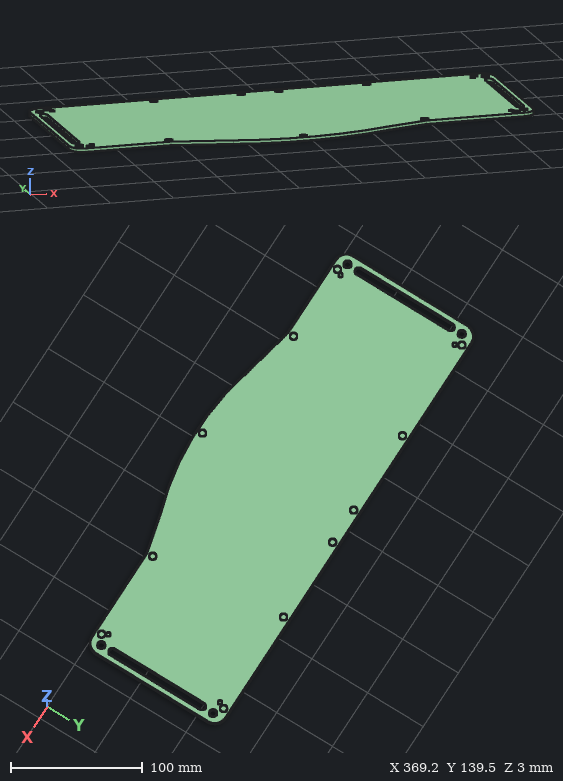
import cadquery as cq

length = 369.2
depth = 139.5
thickness = 3.0
corner_radius = 10.0
left_side_depth = 122.2
right_side_depth = 120.0

left_knee_x = 77.5
right_knee_x = 281.5
arc_left = (124.0, -132.5)
arc_lowest = (181.0, -depth)
arc_right = (248.5, -128.0)

end_inset = 7.8
mount_diameter = 6.0
mount_back_inset = 10.0
mount_front_inset = 9.5
slot_width = 6.0
slot_gap = 7.0

blind_depth = 1.5
socket_diameter = 5.5
socket_edge_inset = 5.0
socket_end_inset = 15.0
pilot_diameter = 3.3
pilot_end_inset = 17.7
back_socket_xs = (99.5, 169.0, 199.0, 268.8)
center_socket = (179.0, -134.8)


def make_plate():
    outline = (
        cq.Workplane("XY")
        .lineTo(length, 0)
        .lineTo(length, -right_side_depth)
        .lineTo(right_knee_x, -right_side_depth)
        .lineTo(*arc_right)
        .threePointArc(arc_lowest, arc_left)
        .lineTo(left_knee_x, -left_side_depth)
        .lineTo(0, -left_side_depth)
        .close()
    )
    plate = outline.extrude(thickness)
    end_faces = plate.faces("<X or >X")
    return end_faces.edges("|Z").fillet(corner_radius)


def drill(body, points, diameter, hole_depth):
    """Cut round holes down from the top face."""
    cutter = (
        cq.Workplane("XY")
        .workplane(offset=thickness - hole_depth)
        .pushPoints(points)
        .circle(diameter / 2)
        .extrude(hole_depth)
    )
    return body.cut(cutter)


def cut_slot(body, x, side_depth):
    """Cut the long slot between the two mounting holes of one end."""
    back_y = -(mount_back_inset + slot_gap)
    front_y = -(side_depth - mount_front_inset - slot_gap)
    slot = (
        cq.Workplane("XY")
        .center(x, (back_y + front_y) / 2)
        .slot2D(back_y - front_y, slot_width, 90)
        .extrude(thickness)
    )
    return body.cut(slot)


mount_points = []
pilot_points = []
socket_points = [(x, -socket_edge_inset) for x in back_socket_xs]
socket_points.append(center_socket)

result = make_plate()

ends = (
    (0, 1, left_side_depth, left_knee_x),
    (length, -1, right_side_depth, right_knee_x),
)
for end_x, inward, side_depth, knee_x in ends:
    mount_x = end_x + inward * end_inset
    pilot_x = end_x + inward * pilot_end_inset
    socket_x = end_x + inward * socket_end_inset
    front_socket_y = -(side_depth - socket_edge_inset)

    for y in (-mount_back_inset, -(side_depth - mount_front_inset)):
        mount_points.append((mount_x, y))
        pilot_points.append((pilot_x, y))
    socket_points.append((socket_x, -socket_edge_inset))
    socket_points.append((socket_x, front_socket_y))
    socket_points.append((knee_x, front_socket_y))
    result = cut_slot(result, mount_x, side_depth)

result = drill(result, mount_points, mount_diameter, thickness)
result = drill(result, socket_points, socket_diameter, blind_depth)
result = drill(result, pilot_points, pilot_diameter, blind_depth)